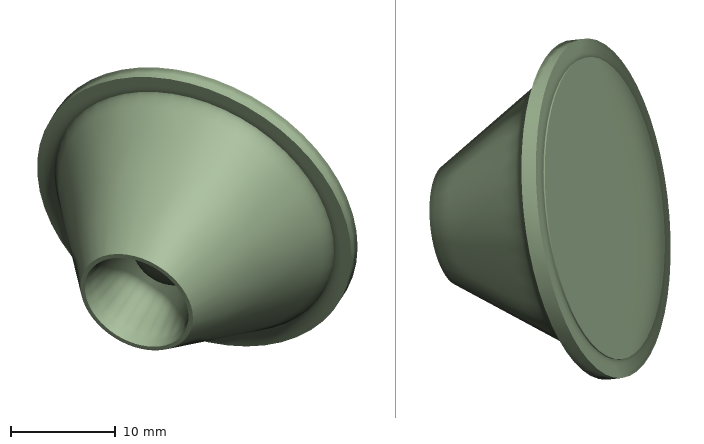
import cadquery as cq
import math

flange_radius = 16.32
flange_thickness = 1.5
cone_base_radius = 14.52
mouth_outer_radius = 5.85
total_length = 15.73
back_disc_height = 0.15

recess_mouth_radius = 5.4
recess_floor_radius = 4.0
recess_depth = 7.83
recess_lens_height = 2.45

flange_back = flange_thickness
back_face = flange_back + back_disc_height
mouth_face = back_face - total_length
recess_floor = mouth_face + recess_depth


def revolve_about_y(profile):
    """Revolve a closed XY half profile fully about the Y axis."""
    return profile.close().revolve(360, (0, 0, 0), (0, 1, 0))


def make_body():
    """Conical body, flange and low raised disc on the back."""
    return revolve_about_y(
        cq.Workplane("XY")
        .moveTo(0, mouth_face)
        .lineTo(mouth_outer_radius, mouth_face)
        .lineTo(cone_base_radius, 0)
        .lineTo(flange_radius, 0)
        .lineTo(flange_radius, flange_back)
        .lineTo(cone_base_radius, flange_back)
        .lineTo(cone_base_radius, back_face)
        .lineTo(0, back_face)
    )


def make_recess():
    """Tapered recess whose floor is a convex spherical lens."""
    lens_tip = recess_floor - recess_lens_height
    lens_radius = (recess_floor_radius**2 + recess_lens_height**2) / (2 * recess_lens_height)
    half_angle = math.asin(recess_floor_radius / lens_radius) / 2
    arc_mid_x = lens_radius * math.sin(half_angle)
    arc_mid_y = lens_tip + lens_radius * (1 - math.cos(half_angle))
    return revolve_about_y(
        cq.Workplane("XY")
        .moveTo(0, mouth_face)
        .lineTo(recess_mouth_radius, mouth_face)
        .lineTo(recess_floor_radius, recess_floor)
        .threePointArc((arc_mid_x, arc_mid_y), (0, lens_tip))
    )


result = make_body().cut(make_recess())